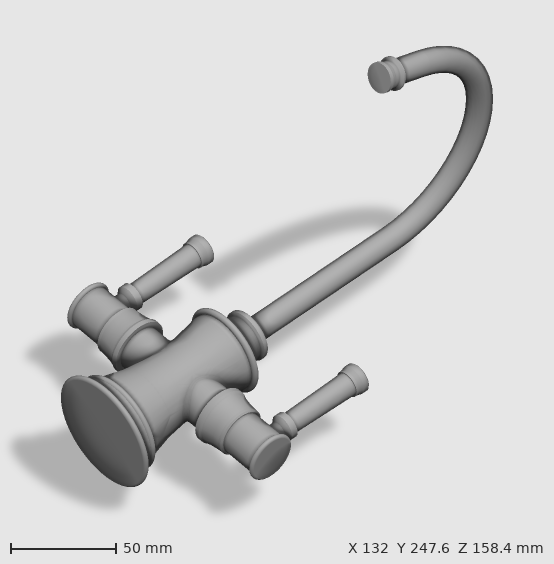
import cadquery as cq
import math


BASE_RADIUS = 30.5
BASE_THICKNESS = 3.0
FLARE_MIDDLE = (26.5, 4.5)
FOOT_RADIUS = 25.3
FOOT_START = 6.7
FOOT_END = 8.5
FOOT_BEAD_RADIUS = 26.0
FOOT_BEAD_END = 11.1
SKIRT_RADIUS = 23.5
WAIST_RADIUS = 17.5
SHOULDER_RADIUS = 20.5
SHOULDER_START = 74.0
SHOULDER_BEAD_RADIUS = 23.0
SHOULDER_BEAD_START = 76.8
SHOULDER_BEAD_END = 80.0
SHOULDER_BEAD_DEPTH = 1.2
DOME_FOOT_RADIUS = 18.8
DOME_MIDDLE = (14.9, 84.0)
NECK_RADIUS = 12.0
NECK_START = 90.5
COLLAR_RADIUS = 13.4
COLLAR_START = 91.6
COLLAR_END = 94.5
COLLAR_ROUND = 1.5

VALVE_Y = 49.0
OVERALL_WIDTH = 132.0
VALVE_REACH = OVERALL_WIDTH / 2
ARM_RADIUS = 12.0
ARM_OVERLAP = 2.5
ARM_BLEND = 2.0
VALVE_RING_RADIUS = 15.0
VALVE_RING_START = 28.2
VALVE_RING_END = 30.7
STEP_RADIUS = 14.4
STEP_END = 32.0
CONE_MIDDLE = (13.4, 37.1)
CONE_END = 42.0
CONE_RADIUS = 13.0
CONE_RING_END = 43.5
CONE_CHAMFER = 0.7
BARREL_RADIUS = 11.5
CAP_RADIUS = 13.0
CAP_THICKNESS = 2.7

HANDLE_X = 55.0
STEM_RADIUS = 4.7
STEM_END = 14.0
KNOB_RADIUS = 7.0
KNOB_START = 16.5
KNOB_END = 20.0
LEVER_ROOT_RADIUS = 5.5
LEVER_TIP_RADIUS = 6.2
LEVER_END = 58.0
TIP_COLLAR_RADIUS = 7.0
TIP_COLLAR_END = 59.5
TIP_RADIUS = 7.7
TIP_START = 62.0
TIP_LENGTH = 65.6
TIP_CHAMFER = 0.7

TOTAL_LENGTH = 247.6
TUBE_RADIUS = 6.5
BEND_RADIUS = 57.2
BEND_ANGLE = 160.0
BEND_START = TOTAL_LENGTH - TUBE_RADIUS - BEND_RADIUS
OUTLET_LENGTH = 17.8

AERATOR_BEAD_RADIUS = 8.5
AERATOR_BEAD_START = 1.0
AERATOR_BEAD_END = 2.0
AERATOR_WAIST_RADIUS = 7.0
AERATOR_WAIST_START = 3.5
AERATOR_WAIST_END = 6.0
AERATOR_LIP_RADIUS = 7.7
AERATOR_LIP_START = 8.5
AERATOR_LENGTH = 10.5


def turn(outline):
    """Revolve a closed (radius, length) outline around the Y axis."""
    return outline.close().revolve(360, (0, 0, 0), (0, 1, 0))


def make_body():
    bead_middle = (SHOULDER_BEAD_START + SHOULDER_BEAD_END) / 2
    bead_root = SHOULDER_BEAD_RADIUS - SHOULDER_BEAD_DEPTH
    foot_bead_middle = (FOOT_END + FOOT_BEAD_END) / 2
    base_round = BASE_THICKNESS / 2
    outline = (
        cq.Workplane("XY")
        .lineTo(BASE_RADIUS - base_round, 0)
        .threePointArc((BASE_RADIUS, base_round), (BASE_RADIUS - base_round, BASE_THICKNESS))
        .threePointArc(FLARE_MIDDLE, (FOOT_RADIUS, FOOT_START))
        .lineTo(FOOT_RADIUS, FOOT_END)
        .threePointArc((FOOT_BEAD_RADIUS, foot_bead_middle), (FOOT_RADIUS, FOOT_BEAD_END))
        .lineTo(SKIRT_RADIUS, FOOT_BEAD_END)
        .threePointArc((WAIST_RADIUS, VALVE_Y), (SHOULDER_RADIUS, SHOULDER_START))
        .lineTo(SHOULDER_RADIUS, SHOULDER_BEAD_START)
        .lineTo(bead_root, SHOULDER_BEAD_START)
        .threePointArc((SHOULDER_BEAD_RADIUS, bead_middle), (bead_root, SHOULDER_BEAD_END))
        .lineTo(DOME_FOOT_RADIUS, SHOULDER_BEAD_END)
        .threePointArc(DOME_MIDDLE, (NECK_RADIUS, NECK_START))
        .lineTo(COLLAR_RADIUS, COLLAR_START)
        .lineTo(COLLAR_RADIUS, COLLAR_END - COLLAR_ROUND)
        .radiusArc((COLLAR_RADIUS - COLLAR_ROUND, COLLAR_END), -COLLAR_ROUND)
        .lineTo(0, COLLAR_END)
    )
    return turn(outline)


def make_arms():
    length = 2 * VALVE_RING_START
    return cq.Workplane("YZ", origin=(-length / 2, VALVE_Y, 0)).circle(ARM_RADIUS).extrude(length)


def blend_arms(body):
    """Round the two saddle-shaped joints between the arms and the body."""
    for side in (-1, 1):
        joint_zone = cq.selectors.BoxSelector(
            (side * ARM_RADIUS / 2, VALVE_Y - WAIST_RADIUS, -WAIST_RADIUS),
            (side * (VALVE_RING_START - ARM_OVERLAP), VALVE_Y + WAIST_RADIUS, WAIST_RADIUS),
        )
        body = body.edges(joint_zone).fillet(ARM_BLEND)
    return body


def make_valve():
    cap_start = VALVE_REACH - CAP_THICKNESS
    cap_round = CAP_THICKNESS / 2
    outline = (
        cq.Workplane("XY")
        .moveTo(0, VALVE_RING_START - ARM_OVERLAP)
        .lineTo(ARM_RADIUS, VALVE_RING_START - ARM_OVERLAP)
        .lineTo(ARM_RADIUS, VALVE_RING_START)
        .lineTo(VALVE_RING_RADIUS, VALVE_RING_START)
        .lineTo(VALVE_RING_RADIUS, VALVE_RING_END)
        .lineTo(STEP_RADIUS, STEP_END)
        .threePointArc(CONE_MIDDLE, (CONE_RADIUS, CONE_END))
        .lineTo(CONE_RADIUS, CONE_RING_END)
        .lineTo(CONE_RADIUS - CONE_CHAMFER, CONE_RING_END + CONE_CHAMFER)
        .lineTo(BARREL_RADIUS, CONE_RING_END + CONE_CHAMFER)
        .lineTo(BARREL_RADIUS, cap_start)
        .threePointArc((CAP_RADIUS, cap_start + cap_round), (BARREL_RADIUS, VALVE_REACH))
        .lineTo(0, VALVE_REACH)
    )
    return turn(outline).rotate((0, 0, 0), (0, 0, 1), -90).translate((0, VALVE_Y, 0))


def make_handle():
    outline = (
        cq.Workplane("XY")
        .lineTo(STEM_RADIUS, 0)
        .lineTo(STEM_RADIUS, STEM_END)
        .lineTo(KNOB_RADIUS, KNOB_START)
        .lineTo(KNOB_RADIUS, KNOB_END)
        .lineTo(LEVER_ROOT_RADIUS, KNOB_END)
        .lineTo(LEVER_TIP_RADIUS, LEVER_END)
        .lineTo(TIP_COLLAR_RADIUS, LEVER_END)
        .lineTo(TIP_COLLAR_RADIUS, TIP_COLLAR_END)
        .lineTo(TIP_RADIUS, TIP_START)
        .lineTo(TIP_RADIUS, TIP_LENGTH - TIP_CHAMFER)
        .lineTo(TIP_RADIUS - TIP_CHAMFER, TIP_LENGTH)
        .lineTo(0, TIP_LENGTH)
    )
    return turn(outline).translate((HANDLE_X, VALVE_Y, 0))


def point_on_bend(degrees):
    """Give the (Y, Z) point on the tube centreline after turning by this angle."""
    angle = math.radians(degrees)
    return (BEND_START + BEND_RADIUS * math.sin(angle), BEND_RADIUS * (1 - math.cos(angle)))


def make_aerator():
    outline = (
        cq.Workplane("XY")
        .lineTo(AERATOR_LIP_RADIUS, 0)
        .lineTo(AERATOR_BEAD_RADIUS, AERATOR_BEAD_START)
        .lineTo(AERATOR_BEAD_RADIUS, AERATOR_BEAD_END)
        .lineTo(AERATOR_WAIST_RADIUS, AERATOR_WAIST_START)
        .lineTo(AERATOR_WAIST_RADIUS, AERATOR_WAIST_END)
        .lineTo(AERATOR_LIP_RADIUS, AERATOR_LIP_START)
        .lineTo(AERATOR_LIP_RADIUS, AERATOR_LENGTH)
        .lineTo(0, AERATOR_LENGTH)
    )
    return turn(outline)


def make_spout():
    end_y, end_z = point_on_bend(BEND_ANGLE)
    tilt = math.radians(BEND_ANGLE)
    outlet = (end_y + OUTLET_LENGTH * math.cos(tilt), end_z + OUTLET_LENGTH * math.sin(tilt))
    path = (
        cq.Workplane("YZ")
        .moveTo(COLLAR_START, 0)
        .lineTo(BEND_START, 0)
        .threePointArc(point_on_bend(BEND_ANGLE / 2), (end_y, end_z))
        .lineTo(*outlet)
    )
    tube = cq.Workplane("XZ", origin=(0, COLLAR_START, 0)).circle(TUBE_RADIUS).sweep(path)
    aerator = make_aerator().rotate((0, 0, 0), (1, 0, 0), BEND_ANGLE).translate((0, *outlet))
    return tube.union(aerator)


result = blend_arms(make_body().union(make_arms()))
valve = make_valve().union(make_handle())
result = result.union(valve).union(valve.mirror("YZ")).union(make_spout())